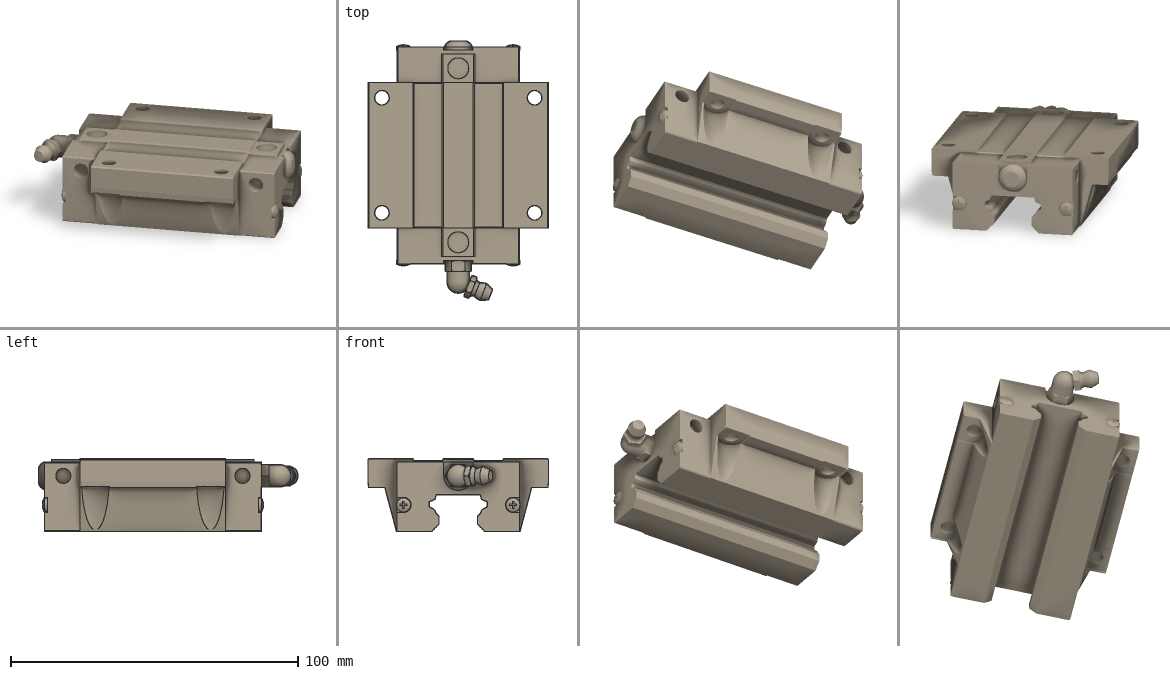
import cadquery as cq
import math


total_length = 90.4
total_height = 25.4
block_length = 50.7
flange_width = 63.0
flange_bottom = 15.4
flange_draft_start = 17.45
flange_draft = 0.3
flange_edge_chamfer = 0.45
flange_end_chamfer = 0.4
web_top_half = 25.6
web_bottom_half = 21.5

pad_inner_half = 15.8
groove_floor = 24.8
strip_half = 5.15
step_run = 0.45

hole_spacing_x = 53.2
hole_inset_y = 5.3
hole_diameter = 5.0
spotface_diameter = 9.8
spotface_height = 15.7

end_half_length = 37.8
end_plate_thickness = 2.5
end_width = 42.8
end_height = 24.2
end_chamfer = 0.4
end_strip_half = 5.3
end_strip_top = 25.1

dimple_diameter = 7.3
dimple_depth = 0.45
side_hole_diameter = 5.2
side_hole_depth = 4.5
end_hole_y = 30.3
side_hole_y = 31.2

port_height = 19.4
port_seat_width = 10.1
seat_depth = 1.1
plug_diameter = 9.8
plug_tip_radius = 2.7
plug_shoulder = (4.1, 39.1)

screw_x = 19.1
screw_height = 9.3
screw_slot_width = 5.2
screw_diameter = 5.0
screw_dome_height = 0.7
cross_diameter = 2.5
cross_width = 0.5
cross_depth = 0.5

nipple_hex_flats = 8.0
nipple_hex_end = 40.5
nut_corner_chamfer = 0.4
elbow_diameter = 7.9
elbow_center = 44.1
branch_angle = 21.5
branch_hex_flats = 7.0
branch_hex_start = 3.5
branch_hex_end = 5.6
neck_flare_radius = 3.3
neck_flare_mid = (2.8, 6.2)
neck_radius = 2.6
neck_end = 7.05
bulb_mid = (3.0, 8.1)
bulb_radius = 6.4 / 2
bulb_end = 9.4
tip_radius = 2.0
tip_end = 12.1

rail_half_outline = [
    (9.3, 0), (6.7, 2.6), (6.7, 5.4), (7.8, 6.5), (8.05, 7.3), (8.7, 8.0), (10.0, 8.7),
    (10.0, 10.4), (8.7, 10.9), (8.05, 11.3), (7.7, 12.8),
]

flange_half = flange_width / 2
end_plate_inner = end_half_length - end_plate_thickness
seat_floor = end_half_length - seat_depth
branch_tilt = math.radians(branch_angle)
nipple_reach = elbow_center + bulb_end * math.sin(branch_tilt) + bulb_radius * math.cos(branch_tilt)
plug_end = total_length - nipple_reach


def mirrored(right_points):
    """Close a right-hand outline with its mirror image across X = 0."""
    return right_points + [(-x, z) for x, z in reversed(right_points)]


def extrude_along_y(points, length):
    """Solid with an XZ outline, centred on Y = 0."""
    return cq.Workplane("XZ").polyline(points).close().extrude(length / 2, both=True)


def make_block():
    """Flanged centre block with its four mounting holes."""
    outline = [
        (web_bottom_half, 0),
        (web_top_half, flange_bottom),
        (flange_half - flange_draft, flange_bottom),
        (flange_half, flange_draft_start),
        (flange_half, total_height - flange_edge_chamfer),
        (flange_half - flange_edge_chamfer, total_height),
        (pad_inner_half, total_height),
        (pad_inner_half - step_run, groove_floor),
        (strip_half + step_run, groove_floor),
        (strip_half, total_height),
    ]
    block = extrude_along_y(mirrored(outline), block_length)
    block = block.faces("<Z[1]").edges("|X").chamfer(flange_end_chamfer)
    spacing_y = block_length - 2 * hole_inset_y
    spots = cq.Workplane("XY").rarray(hole_spacing_x, spacing_y, 2, 2)
    block = block.cut(spots.circle(hole_diameter / 2).extrude(total_height))
    block = block.cut(spots.circle(spotface_diameter / 2).extrude(spotface_height))
    run_outs = cq.Workplane("XY").rarray(hole_spacing_x + flange_half, spacing_y, 2, 2)
    return block.cut(run_outs.rect(flange_half, spotface_diameter).extrude(spotface_height))


def make_end_blocks():
    """Both end blocks as one chamfered bar with a raised strip on top."""
    ends = (
        cq.Workplane("XY")
        .box(end_width, 2 * end_half_length, end_height, centered=(True, True, False))
        .edges("|Y")
        .chamfer(end_chamfer)
    )
    strip = [(end_strip_half + step_run, end_height), (end_strip_half, end_strip_top)]
    return ends.union(extrude_along_y(mirrored(strip), 2 * end_plate_inner))


def end_holes():
    """Shallow dimples in the top strip and blind holes in the sides of the end blocks."""
    dimples = (
        cq.Workplane("XY", origin=(0, 0, end_strip_top - dimple_depth))
        .rarray(0.9, 2 * end_hole_y, 1, 2)
        .circle(dimple_diameter / 2)
        .extrude(total_height)
    )
    side_holes = (
        cq.Workplane("YZ", origin=(0, 0, port_height))
        .rarray(2 * side_hole_y, 0.9, 2, 1)
        .circle(side_hole_diameter / 2)
        .extrude(flange_half, both=True)
    )
    core_width = end_width - 2 * side_hole_depth
    core = cq.Workplane("XY").box(core_width, 2 * end_half_length, 2 * total_height)
    return dimples.union(side_holes.cut(core))


def port_seat(y_side):
    """Round-bottomed notch in an end face, open at the top."""
    base = cq.Workplane("XZ").center(0, port_height)
    notch = base.circle(port_seat_width / 2).extrude(seat_depth / 2, both=True)
    opening = base.center(0, total_height / 2).rect(port_seat_width, total_height)
    notch = notch.union(opening.extrude(seat_depth / 2, both=True))
    return notch.translate((0, y_side * (seat_floor + seat_depth / 2), 0))


def screw_slot(x_side, y_side):
    """Round-ended notch for a screw head, open at the outer side."""
    base = cq.Workplane("XZ").center(x_side * screw_x, screw_height)
    slot = base.circle(screw_slot_width / 2).extrude(seat_depth / 2, both=True)
    opening = base.center(x_side * screw_x / 2, 0).rect(screw_x, screw_slot_width)
    slot = slot.union(opening.extrude(seat_depth / 2, both=True))
    return slot.translate((0, y_side * (seat_floor + seat_depth / 2), 0))


def screw_head(x_side, y_side):
    """Domed head with a cross recess, seated on the floor of its slot."""
    radius = screw_diameter / 2
    top = seat_depth + screw_dome_height
    half_chord = radius / math.sqrt(2)
    sphere_radius = (radius**2 + screw_dome_height**2) / (2 * screw_dome_height)
    mid_height = top - sphere_radius + math.sqrt(sphere_radius**2 - half_chord**2)
    head = (
        cq.Workplane("XY")
        .lineTo(radius, 0)
        .lineTo(radius, seat_depth)
        .threePointArc((half_chord, mid_height), (0, top))
        .close()
        .revolve(360, (0, 0), (0, 1))
    )
    for arm in ((cross_diameter, cross_width), (cross_width, cross_diameter)):
        groove = cq.Workplane("XZ").rect(*arm).extrude(cross_depth, both=True)
        head = head.cut(groove.translate((0, top, 0)))
    if y_side < 0:
        head = head.mirror("XZ")
    return head.translate((x_side * screw_x, y_side * seat_floor, screw_height))


def make_plug():
    """Domed cap closing the unused port on the +Y end."""
    radius = plug_diameter / 2
    plug = (
        cq.Workplane("XY")
        .moveTo(0, seat_floor)
        .lineTo(radius, seat_floor)
        .lineTo(radius, end_half_length)
        .threePointArc(plug_shoulder, (plug_tip_radius, plug_end))
        .lineTo(0, plug_end)
        .close()
        .revolve(360, (0, 0), (0, 1))
    )
    return plug.translate((0, 0, port_height))


def make_nut(flats, thickness):
    """Hexagonal nut standing on Z = 0 with corners on X and chamfered at both ends."""
    across_corners = flats / math.cos(math.radians(30))
    envelope = cq.Workplane("XY").circle(across_corners / 2).extrude(thickness)
    envelope = envelope.faces("<Z or >Z").chamfer(nut_corner_chamfer)
    return cq.Workplane("XY").polygon(6, across_corners).extrude(thickness).intersect(envelope)


def make_nipple():
    """Elbow grease nipple on the -Y end."""
    nut = make_nut(nipple_hex_flats, nipple_hex_end - seat_floor)
    nut = nut.rotate((0, 0, 0), (1, 0, 0), 90).translate((0, -seat_floor, port_height))
    elbow_base = cq.Workplane("XZ", origin=(0, -seat_floor, port_height))
    stem = elbow_base.circle(elbow_diameter / 2).extrude(elbow_center - seat_floor)
    elbow = cq.Workplane("XY").sphere(elbow_diameter / 2).translate((0, -elbow_center, port_height))

    branch = (
        cq.Workplane("XY")
        .moveTo(0, branch_hex_start)
        .lineTo(neck_flare_radius, branch_hex_start)
        .lineTo(neck_flare_radius, branch_hex_end)
        .threePointArc(neck_flare_mid, (neck_radius, neck_end))
        .threePointArc(bulb_mid, (bulb_radius, bulb_end))
        .lineTo(tip_radius, tip_end)
        .lineTo(0, tip_end)
        .close()
        .revolve(360, (0, 0), (0, 1))
    )
    branch_nut = make_nut(branch_hex_flats, branch_hex_end - branch_hex_start)
    branch_nut = branch_nut.rotate((0, 0, 0), (1, 0, 0), -90).translate((0, branch_hex_start, 0))
    branch = branch.union(branch_nut)
    branch = branch.rotate((0, 0, 0), (0, 0, 1), -90 - branch_angle)
    branch = branch.translate((0, -elbow_center, port_height))
    return nut.union(stem).union(elbow).union(branch)


body = make_end_blocks().cut(end_holes()).union(make_block())
body = body.cut(extrude_along_y(mirrored(rail_half_outline), 2 * end_half_length))

for y_side in (-1, 1):
    body = body.cut(port_seat(y_side))
    for x_side in (-1, 1):
        body = body.cut(screw_slot(x_side, y_side))
        body = body.union(screw_head(x_side, y_side))

result = body.union(make_plug()).union(make_nipple())